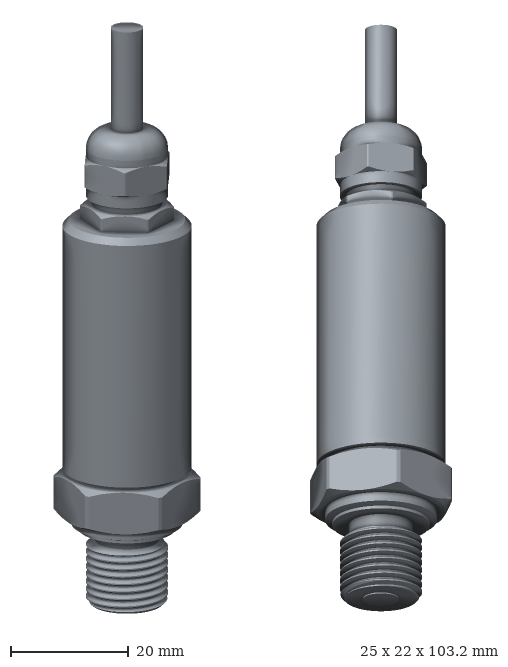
import cadquery as cq
import math


thread_length = 13.5
thread_diameter = 14.0
thread_pitch = 1.337
thread_depth = 0.856
thread_half_angle = math.radians(27.5)
thread_end_chamfer = 0.8
ridge_embed = 0.1
tip_lip_diameter = 6.2
tip_lip_height = 0.2
undercut_diameter = 11.0
undercut_height = 2.0
seam_turn = 47.0
crest_phase = 0.45
seat_diameter = 16.6
seat_height = 0.5
collar_diameter = 19.0
collar_bevel = 0.45
main_hex_z = 2.5
main_hex_height = 7.5
main_hex_flats = 22.0
main_hex_corners = 25.0
neck_height = 0.9
flange_height = 0.95

body_diameter = 22.0
body_chamfer = 1.1
cap_rim = 0.3
flange_z = main_hex_z + main_hex_height + neck_height
sleeve_z = flange_z + flange_height
body_top = 55.3
sleeve_top = body_top - body_chamfer - cap_rim

gland_flats = 14.0
gland_hex_height = 2.9
gland_neck_diameter = 12.0
gland_neck_height = 1.4
gland_nut_height = 12.1
gland_nut_hex_z = 2.0
gland_nut_hex_height = 5.2
gland_hex_corners = 16.0
dome_flat_diameter = 6.8
gland_nut_z = body_top + gland_hex_height + gland_neck_height
gland_top = gland_nut_z + gland_nut_height

cable_diameter = 5.5
cable_top = 89.7

turned_chamfer_slope = math.tan(math.radians(30))


def disc(diameter, z, height):
    """Cylinder on the Z axis."""
    return cq.Workplane("XY").workplane(offset=z).circle(diameter / 2).extrude(height)


def revolved(points):
    """Solid of revolution about Z from (radius, z) points; closes along the axis."""
    outline = [(0, points[0][1])] + points + [(0, points[-1][1])]
    return cq.Workplane("XZ").polyline(outline).close().revolve(360, (0, 0, 0), (0, 1, 0))


def hexagon(flats, z, height, corners, turn=0, chamfer_bottom=True):
    """Hexagonal prism with 30 degree turned chamfers; turn=0 puts corners on the X axis."""
    sharp_corners = flats / math.cos(math.radians(30))
    prism = (
        cq.Workplane("XY").workplane(offset=z)
        .polygon(6, sharp_corners).extrude(height)
        .rotate((0, 0, 0), (0, 0, 1), turn)
    )
    drop = (corners - flats) / 2 * turned_chamfer_slope
    top = z + height
    limit = [(corners / 2, top - drop), (flats / 2, top)]
    if chamfer_bottom:
        limit = [(flats / 2, z), (corners / 2, z + drop)] + limit
    else:
        limit = [(corners / 2, z)] + limit
    return prism.intersect(revolved(limit))


def thread_end_waste(end_z, outward, bevel_radius, bevel_slope):
    """Everything beyond a bevelled thread end; outward is +1 at the top and -1 at the bottom."""
    clear_radius = thread_diameter
    clear_depth = 3 * thread_pitch
    waste = revolved([
        (bevel_radius, end_z),
        (clear_radius, end_z - outward * (clear_radius - bevel_radius) * bevel_slope),
        (clear_radius, end_z + outward * clear_depth),
    ])
    return waste.rotate((0, 0, 0), (0, 0, 1), seam_turn)


def make_thread():
    """Right-hand helical ridge around a root cylinder, bevelled at both ends."""
    ridge_height = thread_length - undercut_height
    crest_radius = thread_diameter / 2
    root_radius = crest_radius - thread_depth
    flank = thread_depth * math.tan(thread_half_angle)
    crest_half = (thread_pitch / 2 - flank) / 2
    base_half = crest_half + (thread_depth + ridge_embed) * math.tan(thread_half_angle)
    start = crest_phase - thread_length - thread_pitch
    helix_height = ridge_height + 2 * thread_pitch
    helix = cq.Wire.makeHelix(thread_pitch, helix_height, root_radius, center=cq.Vector(0, 0, start))
    ridge = (
        cq.Workplane("XZ")
        .polyline([
            (root_radius - ridge_embed, start - base_half),
            (crest_radius, start - crest_half),
            (crest_radius, start + crest_half),
            (root_radius - ridge_embed, start + base_half),
        ])
        .close()
        .sweep(cq.Workplane(helix), isFrenet=True)
    )
    core_height = ridge_height + 4 * thread_pitch
    core = disc(2 * root_radius, -thread_length - 2 * thread_pitch, core_height)
    core = core.rotate((0, 0, 0), (0, 0, 1), seam_turn)
    thread = core.union(ridge)
    top_waste = thread_end_waste(-undercut_height, 1, undercut_diameter / 2, turned_chamfer_slope)
    tip_waste = thread_end_waste(tip_lip_height - thread_length, -1, crest_radius - thread_end_chamfer, 1)
    return thread.cut(top_waste).cut(tip_waste)


def make_fitting():
    """Stem with seat, collar and flange, plus the main hexagon, the thread and the tip lip."""
    bevel_top = seat_height + collar_bevel
    stem = revolved([
        (undercut_diameter / 2, -undercut_height),
        (undercut_diameter / 2, 0),
        (seat_diameter / 2, 0),
        (seat_diameter / 2, seat_height),
        (collar_diameter / 2, bevel_top),
        (collar_diameter / 2, flange_z),
        (body_diameter / 2, flange_z),
        (body_diameter / 2, sleeve_z),
    ])
    main_hex = hexagon(main_hex_flats, main_hex_z, main_hex_height, main_hex_corners)
    tip_lip = disc(tip_lip_diameter, -thread_length, thread_end_chamfer)
    return stem.union(main_hex).union(make_thread()).union(tip_lip)


def make_sleeve():
    """Round body between the fitting flange and the cap."""
    return disc(body_diameter, sleeve_z, sleeve_top - sleeve_z)


def make_cap():
    """Disc closing the sleeve, with a chamfered rim."""
    return disc(body_diameter, sleeve_top, body_top - sleeve_top).faces(">Z").chamfer(body_chamfer)


def make_gland():
    """Lower hexagon, neck and domed nut; the two hexagons are 30 degrees apart."""
    lower_hex = hexagon(
        gland_flats, body_top, gland_hex_height, gland_hex_corners, chamfer_bottom=False
    )
    neck = disc(gland_neck_diameter, body_top, gland_hex_height + gland_neck_height)
    dome_radius = (gland_flats - dome_flat_diameter) / 2
    nut = disc(gland_flats, gland_nut_z, gland_nut_height).faces(">Z").edges().fillet(dome_radius)
    nut_hex = hexagon(
        gland_flats, gland_nut_z + gland_nut_hex_z, gland_nut_hex_height, gland_hex_corners, turn=30
    )
    return lower_hex.union(neck).union(nut).union(nut_hex)


def make_cable():
    """Plain round cable standing on the flat of the gland dome."""
    return disc(cable_diameter, gland_top, cable_top - gland_top)


fitting = make_fitting()
sleeve = make_sleeve()
cap = make_cap()
gland = make_gland()
cable = make_cable()

bodies = [fitting, sleeve, cap, gland, cable]
result = cq.Compound.makeCompound([body.solids().val() for body in bodies])